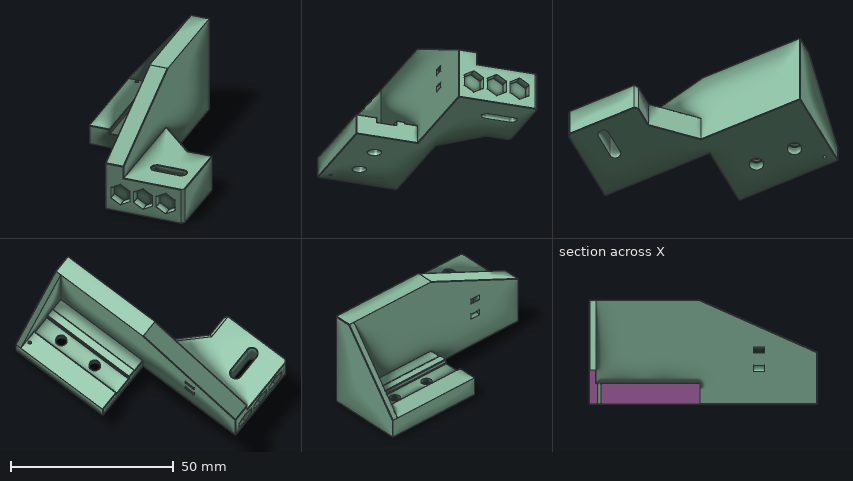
import cadquery as cq
import math

length = 70.0
width = 46.0
height = 32.0

web_left = 20.0
web_right = 26.05
web_front_height = 16.0

deck_length = 34.0
deck_height = 6.5
back_wall = 2.0
groove_center = 10.0
groove_width = 6.3
groove_floor = 5.0
ledge_left = 16.0
ledge_height = 6.0

screw_diameter = 3.4
screw_setbacks = (10.0, 23.0)
bore_diameter = 4.4
bore_depth = 3.7
pin_diameter = 1.0
pin_x = 3.15
pin_setback = 3.1

foot_height = 12.0
foot_taper = 12.0
foot_chamfer = 1.0
slot_x = 37.0
slot_y = 10.0
slot_width = 3.4
slot_length = 11.4

hex_flats = 6.2
hex_corners = hex_flats / math.cos(math.radians(30))
hex_first_x = 25.0
hex_pitch = 7.5
hex_count = 3
hex_z = 6.0
hex_depth = 3.0

strap_y = 17.85
strap_width = 3.4
strap_z = 13.85
strap_inner_radius = 2.205
strap_outer_radius = 3.85
strap_offset = 1.0

edge_break = 0.2
margin = 0.1

deck_front = length - deck_length
foot_back = deck_front - foot_taper


def region(low, high):
    """Selector for edges centred between two corners, with a margin around them."""
    return cq.selectors.BoxSelector(
        tuple(value - margin for value in low),
        tuple(value + margin for value in high),
    )


def make_web():
    """Upright plate whose top slopes down to the front."""
    outline = [
        (0, 0),
        (length, 0),
        (length, height),
        (deck_front, height),
        (0, web_front_height),
    ]
    plate = cq.Workplane("YZ", origin=(web_left, 0, 0)).polyline(outline).close()
    return plate.extrude(web_right - web_left)


def make_deck():
    """Deck with a groove and a lower ledge beside the web."""
    groove_left = groove_center - groove_width / 2
    groove_right = groove_center + groove_width / 2
    profile = [
        (0, 0),
        (web_left, 0),
        (web_left, ledge_height),
        (ledge_left, ledge_height),
        (ledge_left - edge_break, deck_height),
        (groove_right + edge_break, deck_height),
        (groove_right, deck_height - edge_break),
        (groove_right, groove_floor + edge_break),
        (groove_right - edge_break, groove_floor),
        (groove_left, groove_floor),
        (groove_left, deck_height - edge_break),
        (groove_left - edge_break, deck_height),
        (0, deck_height),
    ]
    return cq.Workplane("XZ", origin=(0, length, 0)).polyline(profile).close().extrude(deck_length)


def make_back_wall():
    """Triangular wall bracing the web at the back of the deck."""
    outline = [(0, 0), (web_left, 0), (web_left, height), (0, deck_height)]
    return cq.Workplane("XZ", origin=(0, length, 0)).polyline(outline).close().extrude(back_wall)


def make_foot():
    """Foot with a tapered back end and chamfered right corners."""
    outline = [
        (web_right, 0),
        (width, 0),
        (width, foot_back),
        (web_right + foot_taper, foot_back),
        (web_right, deck_front),
    ]
    foot = cq.Workplane("XY").polyline(outline).close().extrude(foot_height)
    foot = foot.edges("|Z and >X").chamfer(foot_chamfer)
    top_back_edges = region(
        (web_right + 2 * margin, foot_back, foot_height),
        (width - foot_chamfer - 2 * margin, deck_front, foot_height),
    )
    return foot.edges(top_back_edges).chamfer(foot_chamfer)


def break_edges(body):
    """Chamfer the rims of the front, back and bottom faces, the web slope and the foot side."""
    slope_z = (web_front_height + height) / 2
    slope_y = deck_front / 2
    deck_face = region((0, deck_front, 0), (web_left - 2 * margin, deck_front, height))
    slope_sides = region((web_left, slope_y, slope_z), (web_right, slope_y, slope_z))
    foot_side = region((width, foot_chamfer, foot_height), (width, foot_back, foot_height))
    candidates = (
        body.faces("<Y").edges("not(>X)").vals()
        + body.faces("<Z").edges().vals()
        + body.faces(">Y").edges().vals()
        + body.edges(deck_face).vals()
        + body.edges(slope_sides).vals()
        + body.edges(foot_side).vals()
    )
    edges = []
    for candidate in candidates:
        if not any(candidate.isSame(edge) for edge in edges):
            edges.append(candidate)
    return body.newObject(edges).chamfer(edge_break)


def make_deck_holes():
    """Screw holes with wider bores from below, and the pin hole."""
    points = [(groove_center, length - setback) for setback in screw_setbacks]
    screws = cq.Workplane("XY").pushPoints(points).circle(screw_diameter / 2).extrude(deck_height)
    bores = cq.Workplane("XY").pushPoints(points).circle(bore_diameter / 2).extrude(bore_depth)
    pin = cq.Workplane("XY").center(pin_x, length - pin_setback)
    pin = pin.circle(pin_diameter / 2).extrude(deck_height)
    return screws.union(bores).union(pin)


def slot_outline(z, growth):
    """Slot outline at a given height, grown outward all round."""
    plane = cq.Workplane("XY", origin=(slot_x, slot_y, z))
    return plane.slot2D(slot_length + 2 * growth, slot_width + 2 * growth)


def make_slot():
    """Slot through the foot with a chamfered upper rim."""
    slot = slot_outline(0, 0).extrude(foot_height)
    rim = slot_outline(foot_height, edge_break).extrude(-2 * edge_break, taper=45)
    return slot.union(rim)


def make_hex_pocket(x):
    """Hexagonal pocket standing on a corner."""
    face = cq.Workplane("XZ", origin=(x, 0, hex_z)).transformed(rotate=(0, 0, 30))
    return face.polygon(6, hex_corners).extrude(-hex_depth)


def make_strap_channel():
    """Ring centred outside the web, leaving an arched channel in its left face."""
    center = (web_left - strap_offset, strap_y - strap_width / 2, strap_z)
    ring = cq.Workplane("XZ", origin=center).circle(strap_outer_radius).circle(strap_inner_radius)
    return ring.extrude(-strap_width)


result = make_web().union(make_deck()).union(make_back_wall()).union(make_foot())
result = break_edges(result)
result = result.cut(make_deck_holes()).cut(make_slot()).cut(make_strap_channel())
for index in range(hex_count):
    result = result.cut(make_hex_pocket(hex_first_x + index * hex_pitch))